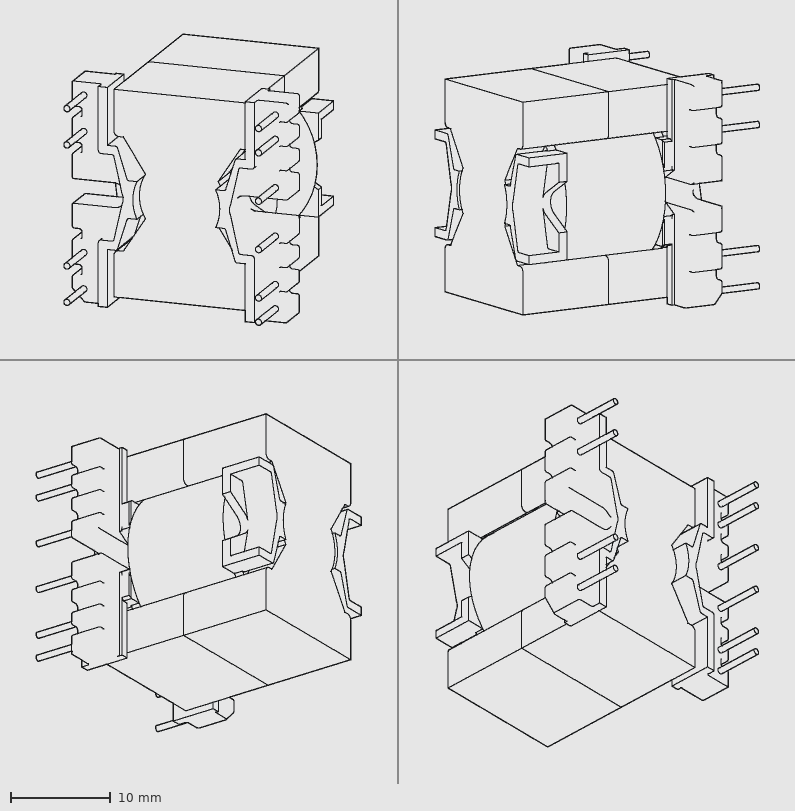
import cadquery as cq
import math


CORE_HALF_X = 7.23
CORE_HALF_Z = 10.85
CORE_LENGTH = 10.2
PLATE_INNER_Y = 6.92
POST_RADIUS = 4.52
LEG_BORE_RADIUS = 8.78
LEG_INNER_Z = 5.97
LEG_ROUND = 0.55
PLATE_NECK_X = 6.23
PLATE_WAIST_Z = 2.35

WINDING_RADIUS = 8.63
WINDING_HALF_LENGTH = 5.9
TUBE_RADIUS = 5.25

BORE_RADIUS = 4.63
FLANGE_OUTER_Y = 6.9
WING_HALF_Z = 5.45
FRONT_WING_X = 8.2
REAR_WING_X = 8.73
WING_CORNER_X = 0.32
WING_CORNER_Z = 0.2
WING_EDGE_CUT = 0.15

RIB_REAR_Y = 10.45
RIB_FRONT_Y = -11.84
RIB_FRONT_X = 8.3
RIB_INNER_X = 7.35
RIB_LEDGE_Z = 4.52
RIB_LEDGE_X = 6.68
RIB_APEX_X = 5.65
RIB_ROUND = 0.24
RIB_SHOULDER_ROUND = 0.32
ROOT_ROUND = 0.18
LUG_ROOT_X = 6.3
LUG_TIP_X = 5.2
LUG_TIP_Z = 1.97
LUG_END_X = 4.08

SLOT_RADIUS = 1.3
SLOT_CENTER_X = 6.95
SLOT_FLARE_ANGLE = math.radians(31)

BLOCK_HALF_X = 11.505
BLOCK_HALF_Z = 11.505
BLOCK_FRONT_Y = -10.85
BLOCK_BACK_Y = -7.2
BLOCK_ROUND = 0.24
CORNER_CUT = 1.3
NOTCH_FLOOR_X = 10.47
NOTCH_WIDTH = 1.1
NOTCH_ROUND = 0.32
RIM_INNER_X = 10.13
END_EDGE_INNER_X = 9.47
SLOT_EDGE_INNER_X = 8.68

PIN_PITCH = 2.533
PIN_RADIUS = 0.33
PIN_X = 10.2
PIN_TIP_Y = -15.85
LEFT_PIN_Z = (2.5 * PIN_PITCH, 4 * PIN_PITCH)
RIGHT_PIN_Z = (PIN_PITCH, 3 * PIN_PITCH, 4 * PIN_PITCH)
LEFT_NOTCH_Z = (4.5, 8.25)
RIGHT_NOTCH_Z = (1.5 * PIN_PITCH, 2.5 * PIN_PITCH, 3.5 * PIN_PITCH)

BEYOND = 26.3
MARGIN = 0.03



def plane_at(y):
    """Workplane parallel to XZ at the given Y; extrusions run towards -Y."""
    return cq.Workplane("XZ", origin=(0, y, 0))


def cylinder(radius, y_front, y_back, x=0.0, z=0.0):
    return plane_at(y_back).center(x, z).circle(radius).extrude(y_back - y_front)


def block(x_min, x_max, z_min, z_max, y_front, y_back):
    size = (x_max - x_min, y_back - y_front, z_max - z_min)
    return cq.Workplane("XY").box(*size, centered=False).translate((x_min, y_front, z_min))


def with_mirror(solid, plane):
    return solid.union(solid.mirror(plane))


def both_signs(*values):
    return [sign * value for value in values for sign in (1, -1)]


def fillet_along_y(solid, radius, x, y, z):
    """Fillet the edge parallel to Y whose middle is nearest to the given point."""
    return solid.edges("|Y").edges(cq.selectors.NearestToPointSelector((x, y, z))).fillet(radius)


def edges_in_plane(solid, y, x_limits, z_limits):
    """Edges at the given Y whose centres lie within the X limits and, on either side, the Z limits."""
    x_min, x_max = sorted(x_limits)
    found = solid.newObject([])
    for sign in (1, -1):
        z_min, z_max = sorted(sign * z for z in z_limits)
        window = cq.selectors.BoxSelector((x_min, y - MARGIN, z_min), (x_max, y + MARGIN, z_max))
        found = found.add(solid.edges(window))
    return found



def make_plate():
    """End plate, narrowed in the middle to the width of the post."""
    waist_x = math.sqrt(POST_RADIUS**2 - PLATE_WAIST_Z**2)
    return (
        plane_at(CORE_LENGTH)
        .moveTo(PLATE_NECK_X, LEG_INNER_Z)
        .lineTo(waist_x, PLATE_WAIST_Z)
        .threePointArc((POST_RADIUS, 0), (waist_x, -PLATE_WAIST_Z))
        .lineTo(PLATE_NECK_X, -LEG_INNER_Z)
        .lineTo(-PLATE_NECK_X, -LEG_INNER_Z)
        .lineTo(-waist_x, -PLATE_WAIST_Z)
        .threePointArc((-POST_RADIUS, 0), (-waist_x, PLATE_WAIST_Z))
        .lineTo(-PLATE_NECK_X, LEG_INNER_Z)
        .close()
        .extrude(CORE_LENGTH - PLATE_INNER_Y)
    )


def make_leg():
    """Outer leg at +Z, as long as the core half and hollowed round the winding."""
    leg = block(-CORE_HALF_X, CORE_HALF_X, LEG_INNER_Z, CORE_HALF_Z, 0, CORE_LENGTH)
    leg = leg.edges("|Y and <Z").fillet(LEG_ROUND)
    return leg.cut(cylinder(LEG_BORE_RADIUS, 0, PLATE_INNER_Y))


def make_core_half():
    post = cylinder(POST_RADIUS, 0, PLATE_INNER_Y)
    leg = make_leg()
    return make_plate().union(post).union(leg).union(leg.mirror("XY"))



def make_winding():
    outer = cylinder(WINDING_RADIUS, -WINDING_HALF_LENGTH, WINDING_HALF_LENGTH)
    return outer.cut(cylinder(TUBE_RADIUS, -WINDING_HALF_LENGTH, WINDING_HALF_LENGTH))



def make_front_flange():
    """Round flange with square wings, bevelled on the side of the winding."""
    wings = block(
        -FRONT_WING_X, FRONT_WING_X, -WING_HALF_Z, WING_HALF_Z, -FLANGE_OUTER_Y, -WINDING_HALF_LENGTH
    )
    for ends in (">Z", "<Z"):
        wings = wings.faces(ends).edges("|Y").chamfer(WING_CORNER_Z, WING_CORNER_X)
    for side in (">X", "<X"):
        wings = wings.faces(">Y").edges(side).chamfer(WING_EDGE_CUT)
    return wings.union(cylinder(WINDING_RADIUS, -FLANGE_OUTER_Y, -WINDING_HALF_LENGTH))


def make_rear_flange():
    wings = block(
        -REAR_WING_X, REAR_WING_X, -WING_HALF_Z, WING_HALF_Z, WINDING_HALF_LENGTH, FLANGE_OUTER_Y
    )
    return wings.union(cylinder(WINDING_RADIUS, WINDING_HALF_LENGTH, FLANGE_OUTER_Y))


def make_ribs(outer_x, y_front, y_back):
    """Pair of V-shaped ribs whose lugs fit round the core post."""
    rib = (
        plane_at(y_back)
        .moveTo(RIB_APEX_X, 0)
        .lineTo(RIB_LEDGE_X, RIB_LEDGE_Z)
        .lineTo(outer_x, RIB_LEDGE_Z)
        .lineTo(outer_x, WING_HALF_Z)
        .lineTo(LUG_ROOT_X, WING_HALF_Z)
        .lineTo(LUG_TIP_X, LUG_TIP_Z)
        .lineTo(LUG_END_X, LUG_TIP_Z)
        .lineTo(LUG_END_X, -LUG_TIP_Z)
        .lineTo(LUG_TIP_X, -LUG_TIP_Z)
        .lineTo(LUG_ROOT_X, -WING_HALF_Z)
        .lineTo(outer_x, -WING_HALF_Z)
        .lineTo(outer_x, -RIB_LEDGE_Z)
        .lineTo(RIB_LEDGE_X, -RIB_LEDGE_Z)
        .close()
        .extrude(y_back - y_front)
    )
    middle_y = (y_front + y_back) / 2
    for x, z in ((LUG_TIP_X, LUG_TIP_Z), (LUG_ROOT_X, WING_HALF_Z), (RIB_LEDGE_X, RIB_LEDGE_Z)):
        for corner_z in (z, -z):
            rib = fillet_along_y(rib, RIB_ROUND, x, middle_y, corner_z)
    return with_mirror(rib, "YZ")


def make_webs(outer_x, y_front, y_back):
    """Four straight walls that carry the ribs on along the core sides."""
    web = block(RIB_INNER_X, outer_x, RIB_LEDGE_Z, BLOCK_HALF_Z, y_front, y_back)
    return with_mirror(with_mirror(web, "XY"), "YZ")


def fill_beside_rib(outer_x, y_front, y_back):
    """Filling at +X and +Z that lies between the V of a rib and the given outer X."""
    return (
        plane_at(y_back)
        .moveTo(RIB_APEX_X, 0)
        .lineTo(RIB_LEDGE_X, RIB_LEDGE_Z)
        .lineTo(outer_x, RIB_LEDGE_Z)
        .lineTo(outer_x, 0)
        .close()
        .extrude(y_back - y_front)
    )


def make_front_step():
    """Step between the front flange and the back of the terminal blocks."""
    fill = fill_beside_rib(FRONT_WING_X, BLOCK_BACK_Y, -FLANGE_OUTER_Y)
    step = make_ribs(FRONT_WING_X, BLOCK_BACK_Y, -FLANGE_OUTER_Y)
    step = step.union(make_webs(FRONT_WING_X, BLOCK_BACK_Y, -FLANGE_OUTER_Y))
    return step.union(with_mirror(with_mirror(fill, "XY"), "YZ"))


def make_front_ribs():
    ribs = make_ribs(RIB_FRONT_X, RIB_FRONT_Y, BLOCK_BACK_Y)
    return ribs.union(make_webs(RIB_FRONT_X, RIB_FRONT_Y, BLOCK_BACK_Y))


def make_notch(z):
    """Cutter for one wire notch in the outer face of a terminal block."""
    notch = block(
        NOTCH_FLOOR_X, BEYOND, z - NOTCH_WIDTH / 2, z + NOTCH_WIDTH / 2, BLOCK_FRONT_Y, BLOCK_BACK_Y
    )
    return notch.edges("|Y and <X").fillet(NOTCH_ROUND)


def make_terminal_block(notch_z, corner_cut=0.0):
    """Block at +X and +Z with its wire notches."""
    body = fill_beside_rib(BLOCK_HALF_X, BLOCK_FRONT_Y, BLOCK_BACK_Y).union(
        block(RIB_FRONT_X, BLOCK_HALF_X, RIB_LEDGE_Z, BLOCK_HALF_Z, BLOCK_FRONT_Y, BLOCK_BACK_Y)
    )
    if corner_cut > 0:
        body = body.edges("|Y and >X and >Z").chamfer(corner_cut)
    for z in notch_z:
        body = body.cut(make_notch(z))
    return body


def make_terminal_blocks():
    right = make_terminal_block(RIGHT_NOTCH_Z)
    left_upper = make_terminal_block(LEFT_NOTCH_Z).mirror("YZ")
    left_lower = make_terminal_block(LEFT_NOTCH_Z, CORNER_CUT).mirror("YZ").mirror("XY")
    return [right, right.mirror("XY"), left_upper, left_lower]


def wire_slots():
    """Cutter for the wire slots: round inner ends, straight in the blocks, flared in the flanges."""
    round_end = cylinder(SLOT_RADIUS, -BEYOND, BEYOND, SLOT_CENTER_X)
    between_blocks = block(
        SLOT_CENTER_X, BEYOND, -SLOT_RADIUS, SLOT_RADIUS, BLOCK_FRONT_Y, BLOCK_BACK_Y
    )
    tangent_x = SLOT_CENTER_X - SLOT_RADIUS * math.sin(SLOT_FLARE_ANGLE)
    tangent_z = SLOT_RADIUS * math.cos(SLOT_FLARE_ANGLE)
    mouth_x = REAR_WING_X + SLOT_RADIUS
    mouth_z = tangent_z + (mouth_x - tangent_x) * math.tan(SLOT_FLARE_ANGLE)
    flare = (
        plane_at(FLANGE_OUTER_Y)
        .moveTo(mouth_x, mouth_z)
        .lineTo(tangent_x, tangent_z)
        .lineTo(tangent_x, -tangent_z)
        .lineTo(mouth_x, -mouth_z)
        .close()
        .extrude(FLANGE_OUTER_Y - BLOCK_BACK_Y)
    )
    return with_mirror(round_end.union(between_blocks).union(flare), "YZ")


def round_rib_roots(bobbin):
    """Round the rib shoulders and their roots on the front faces of the terminal blocks."""
    shoulder_y = (RIB_FRONT_Y + BLOCK_FRONT_Y) / 2
    for side in (1, -1):
        for z in both_signs(RIB_LEDGE_Z):
            bobbin = fillet_along_y(bobbin, RIB_SHOULDER_ROUND, side * RIB_FRONT_X, shoulder_y, z)
        x_limits = (side * RIB_APEX_X, side * (RIB_FRONT_X + MARGIN))
        roots = edges_in_plane(bobbin, BLOCK_FRONT_Y, x_limits, (MARGIN, BLOCK_HALF_Z - MARGIN))
        bobbin = roots.fillet(ROOT_ROUND)
    return bobbin


def round_block_edges(bobbin):
    """Round the outer edges of the terminal blocks, and on the right the front of the slot and the back ends."""
    below_top = (0, BLOCK_HALF_Z - MARGIN)
    edges = bobbin.edges("|Y").edges("<X or >X")
    for y in (BLOCK_FRONT_Y, BLOCK_BACK_Y):
        edges = edges.add(edges_in_plane(bobbin, y, (-BEYOND, -RIM_INNER_X), below_top))
    edges = edges.add(edges_in_plane(bobbin, BLOCK_FRONT_Y, (SLOT_EDGE_INNER_X, BEYOND), below_top))
    edges = edges.add(edges_in_plane(bobbin, BLOCK_BACK_Y, (END_EDGE_INNER_X, BEYOND), (0, BEYOND)))
    return edges.fillet(BLOCK_ROUND)


def add_pins(bobbin):
    pin = cylinder(PIN_RADIUS, PIN_TIP_Y, BLOCK_FRONT_Y)
    for x, heights in ((-PIN_X, LEFT_PIN_Z), (PIN_X, RIGHT_PIN_Z)):
        for z in both_signs(*heights):
            bobbin = bobbin.union(pin.translate((x, 0, z)))
    return bobbin


def make_bobbin():
    tube = cylinder(TUBE_RADIUS, -WINDING_HALF_LENGTH, WINDING_HALF_LENGTH)
    bobbin = tube.union(make_front_flange()).union(make_rear_flange())
    bobbin = bobbin.union(make_ribs(REAR_WING_X, FLANGE_OUTER_Y, RIB_REAR_Y))
    bobbin = bobbin.union(make_front_step()).union(make_front_ribs())
    for terminal_block in make_terminal_blocks():
        bobbin = bobbin.union(terminal_block)
    bobbin = round_rib_roots(bobbin)
    bobbin = bobbin.cut(cylinder(BORE_RADIUS, -BEYOND, BEYOND)).cut(wire_slots())
    bobbin = round_block_edges(bobbin)
    return add_pins(bobbin)


rear_core = make_core_half()
front_core = rear_core.mirror("XZ")
winding = make_winding()
bobbin = make_bobbin()

result = cq.Compound.makeCompound(
    [rear_core.val(), front_core.val(), winding.val(), bobbin.val()]
)